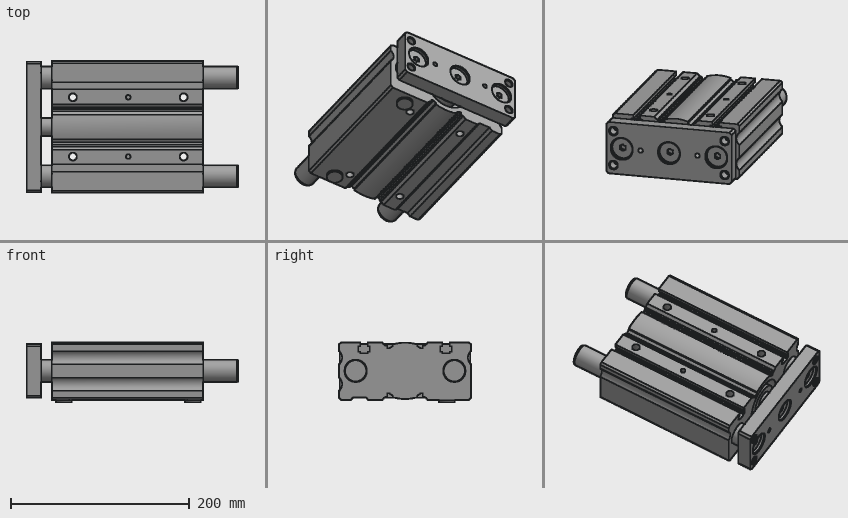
import cadquery as cq
import math


total_length = 237.0
plate_thickness = 16.0
body_start = 28.2
body_length = 169.2
body_width = 148.0
body_top = 31.8
body_bottom = -32.7
half_width = body_width / 2
edge_chamfer = 2.5
top_chamfer_height = 2.0

guide_radius = 12.5
guide_offset = 55.2
guide_chamfer_length = 2.0
guide_chamfer_depth = 0.7
piston_radius = 10.2
piston_depth = 42.7

ring_outer_radius = 25.1
ring_inner_radius = 17.8
ring_depth = 10.7

plate_width = 146.5
plate_height = 60.5
head_recess_radius = 12.0
head_recess_depth = 4.3
head_recess_chamfer = 1.0
socket_across_corners = 7.5
socket_depth = 4.7
corner_hole_y = 65.0
corner_hole_z = 20.0
corner_hole_radius = 4.3
corner_countersink = 1.0
dowel_radius = 2.5
dowel_depth = 7.0

strip_center_y = 33.2
mount_radius = 4.3
mount_spacing = 124.0
mount_center_x = 113.8

valley_edge_y = 25.5
valley_shoulder_y = 22.3
valley_shoulder_drop = 3.3
valley_shelf_y = 20.1
valley_shelf_drop = 3.8
valley_floor_y = 19.7
valley_root_y = 17.3
valley_depth = 6.5
dome_half_width = 13.7
dome_radius = 45.0
dome_lip = 2.0
dome_height = 31.8

t_slot_inner_y = 42.0
t_slot_outer_y = 50.0
t_slot_lip = 4.5
t_slot_undercut = 2.4
t_slot_wide_height = 6.0
t_slot_groove_depth = 1.7

side_groove_inner_z = 7.5
side_groove_outer_z = 22.0
side_groove_depth = 3.5

trough_inner_y = 41.0
trough_outer_y = 60.7
trough_depth = 3.3

plug_radius = 9.0
plug_height = 2.5
plug_y = 47.0
plug_xs = (41.7, 186.0)


def rod_along_x(radius, start, length, y=0.0, z=0.0):
    return cq.Workplane("YZ", origin=(start, y, z)).circle(radius).extrude(length)


def bar_along_x(points):
    """Prism as long as the body with the given (y, z) section."""
    return cq.Workplane("YZ", origin=(body_start, 0, 0)).polyline(points).close().extrude(body_length)


def body_block():
    inset = half_width - edge_chamfer
    return bar_along_x([
        (-half_width, body_bottom + edge_chamfer),
        (-inset, body_bottom),
        (inset, body_bottom),
        (half_width, body_bottom + edge_chamfer),
        (half_width, body_top - top_chamfer_height),
        (inset, body_top),
        (-inset, body_top),
        (-half_width, body_top - top_chamfer_height),
    ])


def valley_and_dome(face_z, side):
    """Material cut from one face (side +1 top, -1 bottom) to leave a domed rib between two valleys."""
    floor_z = side * (dome_height - valley_depth)
    sag = dome_radius - math.sqrt(dome_radius**2 - dome_half_width**2)
    dome_edge_z = side * (dome_height - sag)
    lip_z = dome_edge_z - side * dome_lip
    shoulder_z = face_z - side * valley_shoulder_drop
    shelf_z = face_z - side * valley_shelf_drop
    clear_z = face_z + side * valley_depth
    return (
        cq.Workplane("YZ", origin=(body_start, 0, 0))
        .moveTo(-valley_edge_y, clear_z)
        .lineTo(-valley_edge_y, face_z)
        .lineTo(-valley_shoulder_y, shoulder_z)
        .lineTo(-valley_shelf_y, shelf_z)
        .lineTo(-valley_floor_y, floor_z)
        .lineTo(-valley_root_y, floor_z)
        .lineTo(-dome_half_width, lip_z)
        .lineTo(-dome_half_width, dome_edge_z)
        .threePointArc((0, side * dome_height), (dome_half_width, dome_edge_z))
        .lineTo(dome_half_width, lip_z)
        .lineTo(valley_root_y, floor_z)
        .lineTo(valley_floor_y, floor_z)
        .lineTo(valley_shelf_y, shelf_z)
        .lineTo(valley_shoulder_y, shoulder_z)
        .lineTo(valley_edge_y, face_z)
        .lineTo(valley_edge_y, clear_z)
        .close()
        .extrude(body_length)
    )


def t_slot(side):
    lip_z = body_top - t_slot_lip
    wide_z = lip_z - t_slot_wide_height
    floor_z = wide_z - t_slot_groove_depth
    inner = side * t_slot_inner_y
    outer = side * t_slot_outer_y
    wide_inner = side * (t_slot_inner_y - t_slot_undercut)
    wide_outer = side * (t_slot_outer_y + t_slot_undercut)
    return bar_along_x([
        (inner, body_top), (inner, lip_z), (wide_inner, lip_z), (wide_inner, wide_z),
        (inner, wide_z), (inner, floor_z), (outer, floor_z), (outer, wide_z),
        (wide_outer, wide_z), (wide_outer, lip_z), (outer, lip_z), (outer, body_top),
    ])


def side_groove(y_side, z_side):
    middle_z = z_side * (side_groove_inner_z + side_groove_outer_z) / 2
    half_chord = (side_groove_outer_z - side_groove_inner_z) / 2
    radius = (half_chord**2 + side_groove_depth**2) / (2 * side_groove_depth)
    center_y = y_side * (half_width - side_groove_depth + radius)
    return rod_along_x(radius, body_start, body_length, center_y, middle_z)


def underside_trough():
    floor_z = body_bottom + trough_depth
    return bar_along_x([
        (-trough_inner_y, body_bottom),
        (-trough_inner_y - trough_depth, floor_z),
        (-trough_outer_y + trough_depth, floor_z),
        (-trough_outer_y, body_bottom),
    ])


def ring_recess():
    outer = rod_along_x(ring_outer_radius, body_start, ring_depth)
    return outer.cut(rod_along_x(ring_inner_radius, body_start, ring_depth))


def make_housing():
    body = body_block()
    body = body.cut(valley_and_dome(body_top, 1))
    body = body.cut(valley_and_dome(body_bottom, -1))
    for side in (-1, 1):
        body = body.cut(t_slot(side))
        body = body.cut(rod_along_x(guide_radius, body_start, body_length, side * guide_offset))
    for y_side, z_side in ((-1, 1), (-1, -1), (1, 1)):
        body = body.cut(side_groove(y_side, z_side))
    body = body.cut(underside_trough())
    body = body.cut(rod_along_x(piston_radius, body_start, piston_depth))
    body = body.cut(ring_recess())

    top = cq.Workplane("XY", origin=(mount_center_x, 0, body_top))
    mounts = (
        top.rarray(mount_spacing, 2 * strip_center_y, 2, 2)
        .circle(mount_radius)
        .extrude(body_bottom - body_top)
    )
    dowels = (
        top.rarray(2.4, 2 * strip_center_y, 1, 2)
        .circle(dowel_radius)
        .extrude(-dowel_depth)
    )
    return body.cut(mounts).cut(dowels)


def make_rod_recess(y):
    """Chamfered round recess in the plate with a hex socket in its floor."""
    counterbore = rod_along_x(head_recess_radius, 0, head_recess_depth, y)
    mouth = (
        cq.Workplane("YZ", origin=(0, y, 0))
        .circle(head_recess_radius + head_recess_chamfer)
        .extrude(head_recess_chamfer, taper=45)
    )
    socket = (
        cq.Workplane("YZ", origin=(head_recess_depth, y, 0))
        .transformed(rotate=(0, 0, 90))
        .polygon(6, socket_across_corners)
        .extrude(socket_depth)
    )
    return counterbore.union(mouth).union(socket)


def make_plate_and_rods():
    plate = (
        cq.Workplane("YZ")
        .rect(plate_width, plate_height)
        .extrude(plate_thickness)
        .edges("|X")
        .chamfer(edge_chamfer)
    )
    for y in (-guide_offset, 0, guide_offset):
        plate = plate.cut(make_rod_recess(y))
    corner_holes = (
        cq.Workplane("YZ")
        .rect(2 * corner_hole_y, 2 * corner_hole_z, forConstruction=True)
        .vertices()
        .circle(corner_hole_radius)
        .extrude(plate_thickness)
    )
    countersinks = (
        cq.Workplane("YZ")
        .rect(2 * corner_hole_y, 2 * corner_hole_z, forConstruction=True)
        .vertices()
        .circle(corner_hole_radius + corner_countersink)
        .extrude(corner_countersink, taper=45)
    )
    plate = plate.cut(corner_holes).cut(countersinks)

    for side in (-1, 1):
        plate = plate.cut(rod_along_x(dowel_radius, 0, plate_thickness, side * strip_center_y))
        guide = rod_along_x(
            guide_radius, plate_thickness, total_length - plate_thickness, side * guide_offset
        )
        guide = guide.faces(">X").chamfer(guide_chamfer_length, guide_chamfer_depth)
        plate = plate.union(guide)
    piston_end = body_start + piston_depth
    return plate.union(rod_along_x(piston_radius, plate_thickness, piston_end - plate_thickness))


def make_plug(x):
    return cq.Workplane("XY", origin=(x, plug_y, body_bottom)).circle(plug_radius).extrude(-plug_height)


housing = make_housing()
plate_and_rods = make_plate_and_rods()
plugs = [make_plug(x) for x in plug_xs]

result = cq.Compound.makeCompound(
    [housing.val(), plate_and_rods.val(), *[plug.val() for plug in plugs]]
)